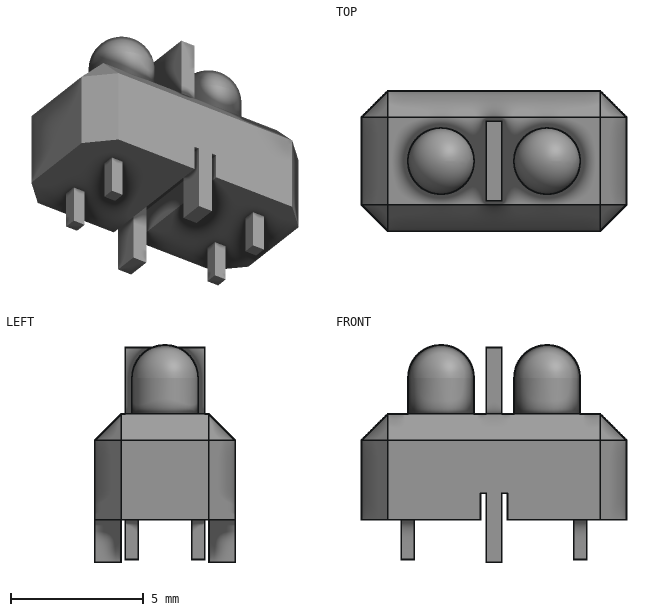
import cadquery as cq

body_length = 10.0
body_width = 5.3
body_height = 4.0
body_chamfer = 1.0

lens_diameter = 2.5
lens_radius = lens_diameter / 2
lens_spacing = 4.0
lens_straight_height = 1.35

barrier_thickness = 0.6
barrier_width = 3.0
barrier_height = 2.5

slot_width = 1.0
slot_depth = 1.0
leg_thickness = barrier_thickness
leg_width = 1.0
leg_drop = 1.6

pin_size = 0.5
pin_drop = 1.5
pin_pitch_x = 6.5
pin_pitch_y = 2.5


def block(size_x, size_y, z_bottom, z_top, x=0, y=0):
    """Upright block centred on (x, y) between two heights."""
    return (
        cq.Workplane("XY")
        .box(size_x, size_y, z_top - z_bottom, centered=(True, True, False))
        .translate((x, y, z_bottom))
    )


def make_body():
    """Housing with chamfered upright and top edges and a slot underneath."""
    body = block(body_length, body_width, 0, body_height)
    body = body.edges("|Z or >Z").chamfer(body_chamfer)
    slot = block(slot_width, body_width, 0, slot_depth)
    return body.cut(slot)


def make_lens(x):
    """Cylinder with a hemispherical end, revolved about its own axis."""
    shoulder_z = body_height + lens_straight_height
    dome_mid = lens_radius * 0.5 ** 0.5
    return (
        cq.Workplane("XZ")
        .moveTo(0, body_height)
        .lineTo(lens_radius, body_height)
        .lineTo(lens_radius, shoulder_z)
        .threePointArc((dome_mid, shoulder_z + dome_mid), (0, shoulder_z + lens_radius))
        .close()
        .revolve(360, (0, 0, 0), (0, 1, 0))
        .translate((x, 0, 0))
    )


def make_barrier():
    """Thin wall standing on the top face."""
    return block(barrier_thickness, barrier_width, body_height, body_height + barrier_height)


def make_leg(side):
    """Leg hanging from the slot roof, flush with one long side of the housing."""
    leg_y = side * (body_width - leg_width) / 2
    return block(leg_thickness, leg_width, -leg_drop, slot_depth, y=leg_y)


def make_pin(side_x, side_y):
    """Solder pin under one corner of the housing."""
    return block(pin_size, pin_size, -pin_drop, 0, side_x * pin_pitch_x / 2, side_y * pin_pitch_y / 2)


result = make_body().union(make_barrier())
for side in (-1, 1):
    result = result.union(make_lens(side * lens_spacing / 2))
    result = result.union(make_leg(side))
    for pin_side in (-1, 1):
        result = result.union(make_pin(side, pin_side))